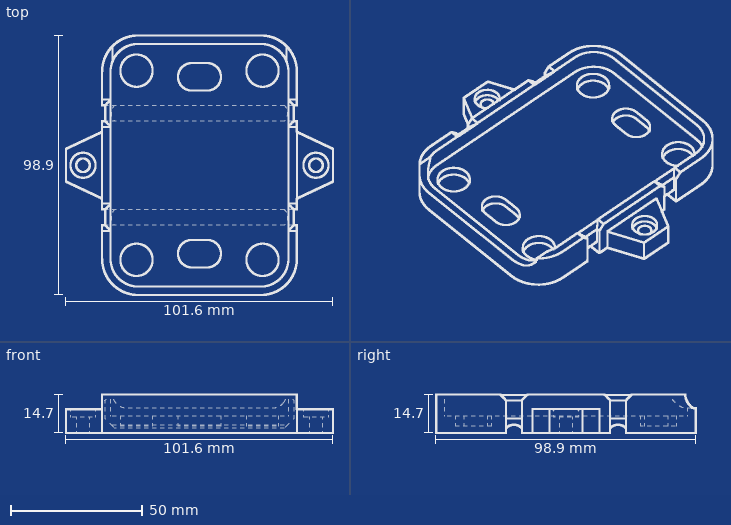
import cadquery as cq

overall_length = 101.6
body_width = 74.2
body_depth = 98.9
body_height = 14.7
corner_radius = 13.8
wall = 3.3
floor_height = 6.5

recess_depth = 3.9
recess_diameter = 12.3
recess_x = 24.0
recess_y = 36.0
slot_length = 16.4
slot_width = 10.5
slot_y = 33.6

ear_height = 9.1
ear_root_width = 25.4
ear_tip_width = 12.5
ear_hole_x = 44.3
ear_hole_diameter = 5.1
counterbore_diameter = 9.5
counterbore_depth = 3.0

notch_radius = 5.2
notch_flat_width = 55.7

strap_width = 6.0
strap_y = 19.8
strap_wall_depth = 1.2
strap_chamfer = 2.2
strap_underside_side_height = 1.9
strap_underside_crown_height = 3.1
strap_entry_height = 5.5

half_width = body_width / 2
half_depth = body_depth / 2
half_length = overall_length / 2
groove_x = half_width - strap_wall_depth


def tray_body():
    outer = (
        cq.Workplane("XY")
        .rect(body_width, body_depth)
        .extrude(body_height)
        .edges("|Z")
        .fillet(corner_radius)
    )
    cavity = (
        cq.Workplane("XY", origin=(0, 0, floor_height))
        .rect(body_width - 2 * wall, body_depth - 2 * wall)
        .extrude(body_height - floor_height)
        .edges("|Z")
        .fillet(corner_radius - wall)
    )
    return outer.cut(cavity)


def ear():
    """Tapered mounting ear on the +X side, embedded in the wall at its root."""
    root = ear_root_width / 2
    tip = ear_tip_width / 2
    embedded_x = half_width - wall
    outline = [
        (embedded_x, -root),
        (half_width, -root),
        (half_length, -tip),
        (half_length, tip),
        (half_width, root),
        (embedded_x, root),
    ]
    return (
        cq.Workplane("XY")
        .polyline(outline)
        .close()
        .extrude(ear_height)
        .faces(">Z")
        .workplane(origin=(ear_hole_x, 0, ear_height))
        .cboreHole(ear_hole_diameter, counterbore_diameter, counterbore_depth)
    )


def floor_recesses():
    base = cq.Workplane("XY", origin=(0, 0, floor_height - recess_depth))
    rounds = (
        base.rect(2 * recess_x, 2 * recess_y, forConstruction=True)
        .vertices()
        .circle(recess_diameter / 2)
        .extrude(recess_depth)
    )
    slots = (
        base.pushPoints([(0, -slot_y), (0, slot_y)])
        .slot2D(slot_length, slot_width)
        .extrude(recess_depth)
    )
    return rounds.union(slots)


def wall_notch():
    """Wide notch whose bottom corners are quarter rounds, cut from the top of the +Y wall."""
    half_flat = notch_flat_width / 2
    half_top = half_flat + notch_radius
    notch_floor = body_height - notch_radius
    return (
        cq.Workplane("XZ", origin=(0, half_depth, 0))
        .moveTo(-half_top, body_height)
        .radiusArc((-half_flat, notch_floor), -notch_radius)
        .lineTo(half_flat, notch_floor)
        .radiusArc((half_top, body_height), -notch_radius)
        .close()
        .extrude(corner_radius)
    )


def side_groove():
    """Groove in the +X wall, flared at the top, with a sloped entry to the underside."""
    groove = cq.Workplane("XY").box(
        wall, strap_width, body_height, centered=(False, True, False)
    ).translate((groove_x, 0, 0))
    flare = (
        cq.Workplane("XY", origin=(half_width, 0, body_height - strap_chamfer))
        .rect(2 * strap_wall_depth, strap_width)
        .workplane(offset=strap_chamfer)
        .rect(2 * (strap_wall_depth + strap_chamfer), strap_width + 2 * strap_chamfer)
        .loft(ruled=True)
    )
    entry_rise = strap_entry_height - strap_underside_side_height
    entry = (
        cq.Workplane("XZ")
        .moveTo(groove_x, strap_underside_side_height)
        .lineTo(groove_x, strap_entry_height)
        .lineTo(groove_x - entry_rise, strap_underside_side_height)
        .close()
        .extrude(strap_width / 2, both=True)
    )
    return groove.union(flare).union(entry)


def underside_channel():
    half_strap = strap_width / 2
    return (
        cq.Workplane("YZ")
        .moveTo(-half_strap, 0)
        .lineTo(-half_strap, strap_underside_side_height)
        .threePointArc(
            (0, strap_underside_crown_height), (half_strap, strap_underside_side_height)
        )
        .lineTo(half_strap, 0)
        .close()
        .extrude(half_width, both=True)
    )


right_ear = ear()
right_groove = side_groove()
strap_channel = (
    underside_channel().union(right_groove).union(right_groove.mirror("YZ"))
)

result = tray_body().union(right_ear).union(right_ear.mirror("YZ"))
result = result.cut(floor_recesses()).cut(wall_notch())
for channel_y in (-strap_y, strap_y):
    result = result.cut(strap_channel.translate((0, channel_y, 0)))